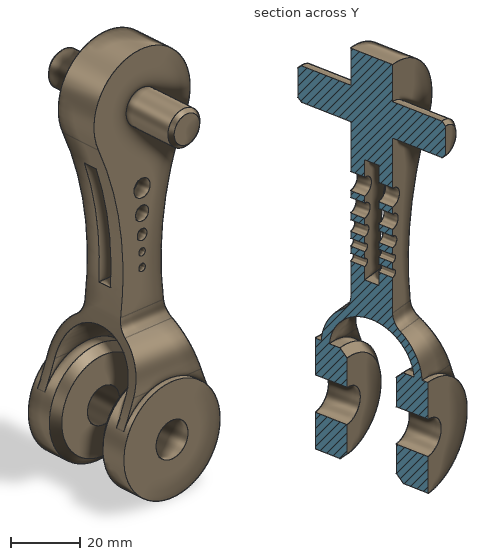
import cadquery as cq
import math

overall_height = 142.2
end_diameter = 38.1
end_radius = end_diameter / 2
lower_z = end_radius
upper_z = overall_height - end_radius
middle_z = overall_height / 2

shank_width = 15.2
shank_half = shank_width / 2
waist_half = 7.5

end_offset = upper_z - middle_z
waist_radius = (end_offset**2 + waist_half**2 - end_radius**2) / (2 * (end_radius - waist_half))
end_share = end_radius / (waist_radius + end_radius)
tangent_y = (waist_half + waist_radius) * end_share
tangent_top_z = upper_z - end_offset * end_share
tangent_bottom_z = lower_z + end_offset * end_share

blank_margin = 1.4
blank_half = end_radius + blank_margin

arch_z = 36.7
arch_inner_radius = 15.2
arm_thickness = 3.1
arch_outer_radius = arch_inner_radius + arm_thickness
shoulder_radius = 6.4

wheel_inner_x = 8.8
wheel_outer_x = 20.3
wheel_width = wheel_outer_x - wheel_inner_x
wheel_chamfer = 2.5

pin_diameter = 12.7
pin_length = 53.3
pin_chamfer = 1.3

slot_width = 5.0
slot_bottom_z = 64.7
slot_top_z = 105.7
cross_holes = [(6.4, 96.6), (5.1, 88.3), (3.8, 81.4), (2.5, 75.7), (2.5, 70.5)]


def x_cylinder(diameter, length, start_x, z):
    """Cylinder along +X, starting at start_x, at height z."""
    return cq.Workplane("YZ", origin=(start_x, 0, z)).circle(diameter / 2).extrude(length)


def side_body():
    """Full-width block with two round ends joined by tangent concave waists."""
    return (
        cq.Workplane("YZ")
        .moveTo(tangent_y, tangent_bottom_z)
        .threePointArc((waist_half, middle_z), (tangent_y, tangent_top_z))
        .threePointArc((0, overall_height), (-tangent_y, tangent_top_z))
        .threePointArc((-waist_half, middle_z), (-tangent_y, tangent_bottom_z))
        .threePointArc((0, 0), (tangent_y, tangent_bottom_z))
        .close()
        .extrude(blank_half, both=True)
    )


def fork_body():
    """Straight shank flowing through rounded shoulders into an arched fork."""
    shoulder_x = shank_half + shoulder_radius
    center_distance = arch_outer_radius + shoulder_radius
    shoulder_z = arch_z + math.sqrt(center_distance**2 - shoulder_x**2)
    blend = arch_outer_radius / center_distance
    blend_x = shoulder_x * blend
    blend_z = arch_z + (shoulder_z - arch_z) * blend
    blend_angle = math.atan2(blend_z - arch_z, blend_x)
    shoulder_x_mid = shoulder_x - shoulder_radius * math.cos(blend_angle / 2)
    shoulder_z_mid = shoulder_z - shoulder_radius * math.sin(blend_angle / 2)
    arch_x_mid = arch_outer_radius * math.cos(blend_angle / 2)
    arch_z_mid = arch_z + arch_outer_radius * math.sin(blend_angle / 2)
    return (
        cq.Workplane("XZ")
        .moveTo(shank_half, overall_height + blank_margin)
        .lineTo(shank_half, shoulder_z)
        .threePointArc((shoulder_x_mid, shoulder_z_mid), (blend_x, blend_z))
        .threePointArc((arch_x_mid, arch_z_mid), (arch_outer_radius, arch_z))
        .lineTo(arch_outer_radius, tangent_bottom_z)
        .lineTo(arch_inner_radius, tangent_bottom_z)
        .lineTo(arch_inner_radius, arch_z)
        .threePointArc((0, arch_z + arch_inner_radius), (-arch_inner_radius, arch_z))
        .lineTo(-arch_inner_radius, tangent_bottom_z)
        .lineTo(-arch_outer_radius, tangent_bottom_z)
        .lineTo(-arch_outer_radius, arch_z)
        .threePointArc((-arch_x_mid, arch_z_mid), (-blend_x, blend_z))
        .threePointArc((-shoulder_x_mid, shoulder_z_mid), (-shank_half, shoulder_z))
        .lineTo(-shank_half, overall_height + blank_margin)
        .close()
        .extrude(blank_half, both=True)
    )


link = side_body().intersect(fork_body())

slot_height = slot_top_z - slot_bottom_z
slot_z = (slot_top_z + slot_bottom_z) / 2
link = link.cut(cq.Workplane().box(slot_width, end_diameter, slot_height).translate((0, 0, slot_z)))

for hole_diameter, hole_z in cross_holes:
    link = link.cut(x_cylinder(hole_diameter, shank_width, -shank_half, hole_z))

wheel = x_cylinder(end_diameter, wheel_width, wheel_inner_x, lower_z)
wheel = wheel.faces("<X").edges().chamfer(wheel_chamfer)
link = link.union(wheel).union(wheel.mirror("YZ"))

link = link.cut(x_cylinder(pin_diameter, 2 * wheel_outer_x, -wheel_outer_x, lower_z))

pin = x_cylinder(pin_diameter, pin_length, -pin_length / 2, upper_z)
pin = pin.faces("<X or >X").edges().chamfer(pin_chamfer)

result = link.union(pin)